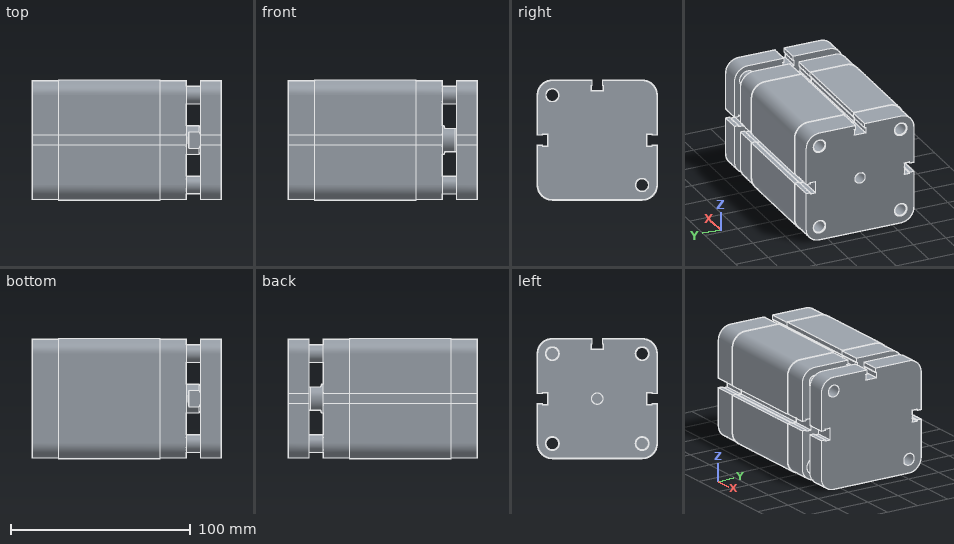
import cadquery as cq


cap_length = 14.8
barrel_length = 56.4
gap_length = 7.7
total_length = 105.5

barrel_start = cap_length
front_cap_start = barrel_start + barrel_length
front_face = front_cap_start + cap_length
yoke_start = front_face + gap_length
yoke_length = total_length - yoke_start

barrel_side = 67.0
cap_side = 66.4
hole_offset = 25.0

slot_mouth_width = 5.6
slot_lip_depth = 3.0
slot_floor_offset = 27.3
slot_pocket_width = 7.0
barrel_slot_inset = 0.3
slot_angles = (-90, 0, 90)

screw_hole_diameter = 7.0
screw_chamfer = 0.37
chamfer_angle = 45
centre_hole_diameter = 6.3

rod_diameter = 16.0
rod_flat_width = 13.1
rod_flat_start = front_face + 1.4
rod_shoulder_slope = 0.4
rod_end_chamfer = 0.7
guide_diameter = 10.0

guide_places = [(hole_offset, hole_offset), (-hole_offset, -hole_offset)]
screw_places = [(-hole_offset, hole_offset), (hole_offset, -hole_offset)]


def cylinders(places, diameter, start, length):
    """Round bars along X, one at each (y, z) place."""
    return (
        cq.Workplane("YZ", origin=(start, 0, 0))
        .pushPoints(places)
        .circle(diameter / 2)
        .extrude(length)
    )


def chamfered_screw_holes(places, start, length):
    """Cutter for screw holes that are chamfered at their rear mouth."""
    holes = cylinders(places, screw_hole_diameter, start, length)
    mouths = (
        cq.Workplane("YZ", origin=(start, 0, 0))
        .pushPoints(places)
        .circle(screw_hole_diameter / 2 + screw_chamfer)
        .extrude(screw_chamfer, taper=chamfer_angle)
    )
    return holes.union(mouths)


def slotted_block(side, start, length, slot_inset=0):
    """Rounded square block along X with three T-slots; slot_inset shrinks their pockets."""
    corner_radius = side / 2 - hole_offset
    block = cq.Workplane("YZ", origin=(start, 0, 0)).rect(side, side).extrude(length)
    block = block.edges("|X").fillet(corner_radius)

    floor = slot_floor_offset + slot_inset
    lip = barrel_side / 2 - slot_lip_depth
    pocket_width = slot_pocket_width - 2 * slot_inset
    mouth_height = barrel_side / 2 - floor
    upright = (False, True, False)
    mouth = cq.Workplane().box(length, slot_mouth_width, mouth_height, centered=upright)
    pocket = cq.Workplane().box(length, pocket_width, lip - floor, centered=upright)
    slot = mouth.union(pocket).translate((start, 0, floor))
    for angle in slot_angles:
        block = block.cut(slot.rotate((0, 0, 0), (1, 0, 0), angle))
    return block


def make_rear_cap():
    cap = slotted_block(cap_side, 0, cap_length)
    cap = cap.cut(chamfered_screw_holes(guide_places + screw_places, 0, cap_length))
    return cap.cut(cylinders([(0, 0)], centre_hole_diameter, 0, cap_length))


def bore_for_rods(block, start, length):
    """Cut the piston rod bore, guide bores and open screw holes through a block."""
    block = block.cut(cylinders([(0, 0)], rod_diameter, start, length))
    block = block.cut(cylinders(guide_places, guide_diameter, start, length))
    return block.cut(cylinders(screw_places, screw_hole_diameter, start, length))


def make_barrel():
    barrel = slotted_block(barrel_side, barrel_start, barrel_length, barrel_slot_inset)
    return bore_for_rods(barrel, barrel_start, barrel_length)


def make_front_cap():
    cap = slotted_block(cap_side, front_cap_start, cap_length)
    return bore_for_rods(cap, front_cap_start, cap_length)


def make_piston_rod():
    """Rod from the rear cap to the yoke, with two wrench flats at its front end."""
    rod = cylinders([(0, 0)], rod_diameter, barrel_start, yoke_start - barrel_start)
    rod = rod.faces(">X").chamfer(rod_end_chamfer)
    flat_height = rod_flat_width / 2
    rod_radius = rod_diameter / 2
    flat_cutter = (
        cq.Workplane("XZ")
        .moveTo(rod_flat_start, flat_height)
        .lineTo(rod_flat_start - rod_shoulder_slope, rod_radius)
        .lineTo(yoke_start, rod_radius)
        .lineTo(yoke_start, flat_height)
        .close()
        .extrude(rod_radius, both=True)
    )
    return rod.cut(flat_cutter).cut(flat_cutter.mirror("XY"))


def make_yoke():
    """Front plate in one piece with the two guide rods."""
    plate = slotted_block(cap_side, yoke_start, yoke_length)
    plate = plate.cut(cylinders(screw_places, screw_hole_diameter, yoke_start, yoke_length))
    guides = cylinders(guide_places, guide_diameter, barrel_start, yoke_start - barrel_start)
    return plate.union(guides)


rear_cap = make_rear_cap()
barrel = make_barrel()
front_cap = make_front_cap()
piston_rod = make_piston_rod()
yoke = make_yoke()

result = cq.Compound.makeCompound(
    [rear_cap.val(), barrel.val(), front_cap.val(), piston_rod.val(), yoke.val()]
)